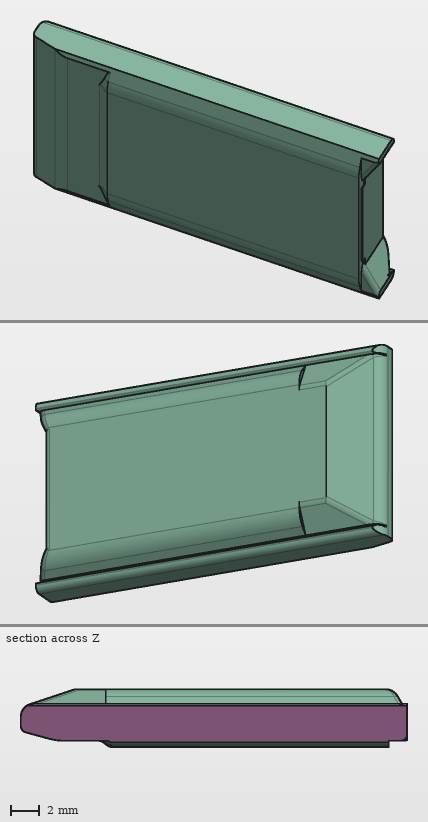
import cadquery as cq
import math

length = 26.75
thickness = 4.0
width = 14.0
half_width = width / 2

nose_face_front = 1.47
nose_face_back = 2.05
front_nose_radius = 0.48
front_slope = math.radians(15.6)
front_blend_radius = 3.88
front_flat_start = 3.0
back_nose_radius = 0.95
back_slope = math.radians(18.4)

front_face = 0.43
pad_start = 6.23
pad_end = 25.47
side_front_edge = 0.55
pad_flat_half = 5.05
bevel_half = 5.97
pad_corner = (bevel_half + pad_flat_half) / 2
bevel_slope = side_front_edge / (half_width - pad_corner)
bevel_start = ((bevel_half - pad_corner) * bevel_slope, bevel_half)
pad_edge_radius = (bevel_half - pad_corner) / math.tan(math.atan(bevel_slope) / 2)
ramp_start = 5.43
ramp_middle = (5.95, 0.15)
ramp_end_direction = (1, -0.2)

rim_back = 3.0
rim_radius = 0.48
rim_inner_radius = 0.13
groove_bottom = 2.25
groove_outer = 6.35
groove_inner = 6.25
panel_shoulder = (3.5, 5.75)
panel_flank_angle = math.atan2(panel_shoulder[0] - rim_back, groove_inner - panel_shoulder[1])
panel_round_length = (thickness - panel_shoulder[0]) / math.tan(panel_flank_angle / 2)
panel_flat_half = panel_shoulder[1] - panel_round_length
nose_block_end = 5.88
nose_block_half = 4.33
nose_block_rounding = 0.8

notch_floor = 25.57
notch_floor_half = 4.3
notch_mouth_half = 6.4
notch_radius = 0.37

overcut = 0.27
margin = 0.03


def polar(center, radius, angle):
    return (center[0] + radius * math.cos(angle), center[1] + radius * math.sin(angle))


def make_side_outline():
    """Half-width block with the nose, front pad and back contour in the XY plane."""
    front_center = (front_nose_radius, nose_face_front)
    front_mid = polar(front_center, front_nose_radius, math.pi + (math.pi / 2 - front_slope) / 2)
    front_end = polar(front_center, front_nose_radius, 1.5 * math.pi - front_slope)

    blend_center = (front_flat_start, front_face + front_blend_radius)
    blend_start = polar(blend_center, front_blend_radius, 1.5 * math.pi - front_slope)
    blend_mid = polar(blend_center, front_blend_radius, 1.5 * math.pi - front_slope / 2)

    back_center = (back_nose_radius, nose_face_back)
    back_mid = polar(back_center, back_nose_radius, math.pi - (math.pi / 2 - back_slope) / 2)
    back_end = polar(back_center, back_nose_radius, math.pi / 2 + back_slope)
    slope_top = back_end[0] + (thickness - back_end[1]) / math.tan(back_slope)

    return (
        cq.Workplane("XY")
        .moveTo(0, nose_face_front)
        .threePointArc(front_mid, front_end)
        .lineTo(*blend_start)
        .threePointArc(blend_mid, (front_flat_start, front_face))
        .lineTo(pad_start, front_face)
        .lineTo(pad_start, 0)
        .lineTo(pad_end, 0)
        .lineTo(pad_end, front_face)
        .lineTo(length, front_face)
        .lineTo(length, thickness)
        .lineTo(slope_top, thickness)
        .lineTo(*back_end)
        .threePointArc(back_mid, (0, nose_face_back))
        .close()
        .extrude(half_width)
    )


def make_cross_section():
    """Bar of constant YZ section: pad face, rounded pad edge, bevel and side wall."""
    return (
        cq.Workplane("YZ")
        .lineTo(0, pad_flat_half)
        .tangentArcPoint(bevel_start, relative=False)
        .lineTo(side_front_edge, half_width)
        .lineTo(thickness, half_width)
        .lineTo(thickness, 0)
        .close()
        .extrude(length)
    )


def make_panel():
    """Middle of the part up to the groove behind the nose block, notched at its end."""
    panel = (
        cq.Workplane("YZ", origin=(nose_block_end, 0, 0))
        .lineTo(0, groove_inner)
        .lineTo(rim_back, groove_inner)
        .lineTo(*panel_shoulder)
        .tangentArcPoint((thickness, panel_flat_half), relative=False)
        .lineTo(thickness, 0)
        .close()
        .extrude(length - nose_block_end)
        .cut(make_notch())
    )
    notch_back_edges = cq.selectors.BoxSelector(
        (notch_floor - notch_radius, rim_back - margin, -margin),
        (length + margin, thickness + margin, half_width),
        boundingbox=True,
    )
    return panel.edges(notch_back_edges).fillet(notch_radius)


def make_nose_block():
    """Middle of the nose up to the groove, with flat flanks and rounded flank edges."""
    flank_slope = (thickness - rim_back) / (groove_inner - nose_block_half)
    flank_bottom = thickness - flank_slope * (half_width - nose_block_half)
    block = (
        cq.Workplane("YZ")
        .lineTo(0, half_width)
        .lineTo(flank_bottom, half_width)
        .lineTo(thickness, nose_block_half)
        .lineTo(thickness, 0)
        .close()
        .extrude(length)
        .intersect(make_side_outline())
    )
    flank_edges = cq.selectors.BoxSelector(
        (back_nose_radius, rim_back, nose_block_half - margin),
        (length - margin, thickness + margin, half_width - margin),
    )
    return (
        block.edges(flank_edges)
        .fillet(nose_block_rounding)
        .intersect(cq.Workplane("XY").box(nose_block_end, thickness, groove_inner, centered=False))
    )


def make_notch():
    """Half of the notch through the +X end, with flared walls."""
    return (
        cq.Workplane("XZ")
        .moveTo(length, 0)
        .lineTo(notch_floor, 0)
        .lineTo(notch_floor, notch_floor_half)
        .lineTo(length, notch_mouth_half)
        .close()
        .extrude(-thickness)
    )


def make_notch_front_rounding():
    """Waste that rounds the edge between the flared wall and the front face."""
    run = length - notch_floor
    rise = notch_mouth_half - notch_floor_half
    wall = cq.Plane(
        origin=(notch_floor, front_face, notch_floor_half),
        xDir=(-rise, 0, run),
        normal=(run, 0, rise),
    )
    wall_length = math.hypot(run, rise)
    behind_pad = (
        cq.Workplane("XY", origin=(pad_end, 0, 0))
        .rect(length, thickness, centered=False)
        .extrude(width)
    )
    arc_mid = notch_radius * (1 - math.sqrt(0.5))
    return (
        cq.Workplane(wall)
        .workplane(offset=-wall_length)
        .moveTo(0, -notch_radius)
        .threePointArc((arc_mid, -arc_mid), (notch_radius, 0))
        .lineTo(notch_radius, overcut)
        .lineTo(-overcut, overcut)
        .lineTo(-overcut, -notch_radius)
        .close()
        .extrude(3 * wall_length)
        .intersect(behind_pad)
    )


def make_rim():
    """Side rim outside the groove, joined to the core below the groove."""
    rim = (
        cq.Workplane("XY", origin=(0, 0, groove_outer))
        .rect(length, rim_back, centered=False)
        .extrude(half_width - groove_outer)
        .edges(">Y and >Z")
        .fillet(rim_radius)
        .edges(">Y and <Z")
        .fillet(rim_inner_radius)
    )
    bridge = (
        cq.Workplane("XY", origin=(0, 0, groove_inner))
        .rect(length, groove_bottom, centered=False)
        .extrude(groove_outer - groove_inner)
    )
    return rim.union(bridge).cut(make_notch())


def ramp_profile():
    """XY profile of the S-shaped ramp at the rim of the flat pad face."""
    return (
        cq.Workplane("XY", origin=(0, 0, pad_flat_half))
        .moveTo(ramp_start, front_face)
        .spline(
            [ramp_middle, (pad_start, 0)],
            tangents=[(1, 0), ramp_end_direction],
            includeCurrent=True,
        )
        .lineTo(pad_start, front_face)
        .close()
    )


def make_ramp():
    """Ramp in front of the pad over the full width, bent with the pad edges."""
    middle = ramp_profile().extrude(-2 * pad_flat_half)
    pad_edge = (
        cq.Workplane("YZ")
        .moveTo(0, pad_flat_half)
        .radiusArc(bevel_start, pad_edge_radius)
        .lineTo(side_front_edge, half_width)
    )
    side = ramp_profile().sweep(pad_edge)
    return middle.union(side).union(side.mirror("XY"))


half = make_panel().union(make_nose_block()).union(make_rim())
half = half.intersect(make_cross_section()).intersect(make_side_outline())
half = half.cut(make_notch_front_rounding())
result = half.union(half.mirror("XY")).union(make_ramp()).clean()